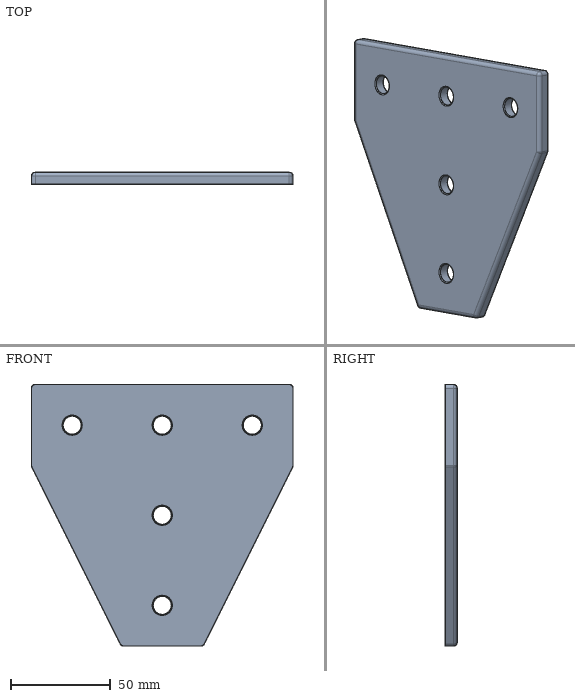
import cadquery as cq

side = 131.0
thickness = 6.0
half_side = side / 2
straight_side_height = 41.0
bottom_width = 41.0
corner_radius = 2.0
back_edge_radius = 2.0

hole_diameter = 9.0
hole_chamfer = 0.5
hole_pitch = 45.0
hole_points = [
    (-hole_pitch, hole_pitch),
    (0, hole_pitch),
    (hole_pitch, hole_pitch),
    (0, 0),
    (0, -hole_pitch),
]


def make_plate():
    """Tapered plate with rounded corners and a rounded back (+Y) rim."""
    shoulder_z = half_side - straight_side_height
    outline = [
        (-half_side, half_side),
        (half_side, half_side),
        (half_side, shoulder_z),
        (bottom_width / 2, -half_side),
        (-bottom_width / 2, -half_side),
        (-half_side, shoulder_z),
    ]
    plate = (
        cq.Workplane("XZ", origin=(0, thickness / 2, 0))
        .polyline(outline)
        .close()
        .extrude(thickness)
    )
    plate = plate.edges("|Y").fillet(corner_radius)
    return plate.faces(">Y").edges().fillet(back_edge_radius)


def make_hole_cutter():
    """Revolved cutter for one through hole, chamfered at both faces."""
    bore_radius = hole_diameter / 2
    mouth_radius = bore_radius + hole_chamfer
    half_thickness = thickness / 2
    bore_end = half_thickness - hole_chamfer
    profile = [
        (0, -half_thickness),
        (mouth_radius, -half_thickness),
        (bore_radius, -bore_end),
        (bore_radius, bore_end),
        (mouth_radius, half_thickness),
        (0, half_thickness),
    ]
    return cq.Workplane("XY").polyline(profile).close().revolve(360, (0, 0, 0), (0, 1, 0))


result = make_plate()
hole_cutter = make_hole_cutter()
for x, z in hole_points:
    result = result.cut(hole_cutter.translate((x, 0, z)))